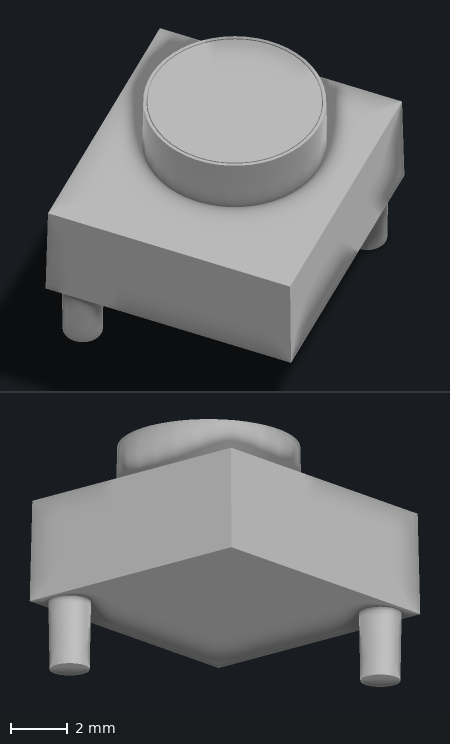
import cadquery as cq
import math

block_width = 9.38
block_length = 10.12
block_height = 3.7
block_draft = 1.0

collar_radius = 3.27
collar_height = 2.0
collar_draft = 1.5
collar_offset_y = 0.87
recess_radius = 3.11

side_gap = 0.04
disc_radius = recess_radius - side_gap

pin_radius = 0.75
pin_length = 2.49
pin_draft = 1.0
pin_offset_x = 3.69
pin_offset_y = 4.07


def make_tapered_post(radius, height, draft):
    """Round post on the XY plane that narrows upward."""
    end_radius = radius - height * math.tan(math.radians(draft))
    return cq.Workplane(cq.Solid.makeCone(radius, end_radius, height))


def make_block():
    """Rectangular block with its underside at Z = 0."""
    return cq.Workplane("XY").rect(block_width, block_length).extrude(block_height, taper=block_draft)


def make_collar():
    """Solid collar on top of the block, before the recess is cut."""
    post = make_tapered_post(collar_radius, collar_height, collar_draft)
    return post.translate((0, collar_offset_y, block_height))


def make_pin(side):
    """Pin hanging below the block; side is -1 or +1 along the diagonal."""
    post = make_tapered_post(pin_radius, pin_length, pin_draft)
    hanging = post.rotate((0, 0, 0), (1, 0, 0), 180)
    return hanging.translate((side * pin_offset_x, side * pin_offset_y, 0))


def make_collar_cylinder(radius):
    """Cylinder on the collar axis, from the block top to the collar rim."""
    cylinder = cq.Workplane("XY").circle(radius).extrude(collar_height)
    return cylinder.translate((0, collar_offset_y, block_height))


def make_housing():
    """Block, collar and pins as one solid, with the recess open at the rim."""
    housing = make_block().union(make_collar())
    for side in (-1, 1):
        housing = housing.union(make_pin(side))
    return housing.cut(make_collar_cylinder(recess_radius))


housing = make_housing()
disc = make_collar_cylinder(disc_radius)

result = cq.Compound.makeCompound([housing.val(), disc.val()])